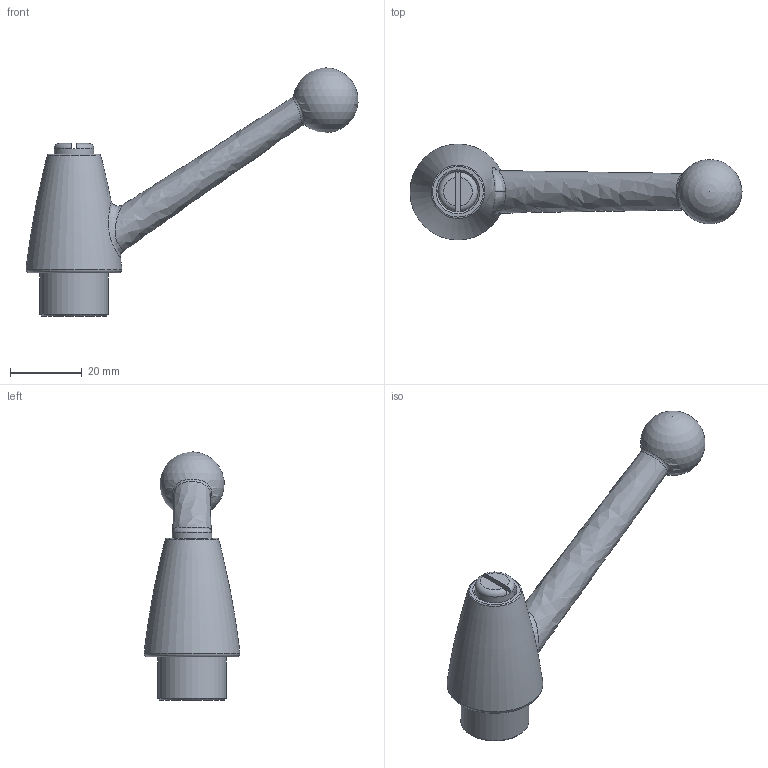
import cadquery as cq
import math


spigot_diameter = 19.0
spigot_chamfer = 0.5

hub_bottom_z = 12.0
hub_bottom_round = 1.0
hub_top_z = 45.0
hub_base_radius = 13.33
hub_top_radius = 7.35
hub_side_bulge = 0.55
hub_top_fillet = 0.4

screw_diameter = 11.0
screw_top_z = 48.0
screw_edge_fillet = 1.5
slot_width = 1.4
slot_depth = 1.5
bore_diameter = 11.2
bore_chamfer = 0.5
bore_depth = 2.0

ball_diameter = 18.0
ball_center_x = 69.95
ball_center_z = 60.0

arm_angle = 33.67
arm_rise_over_ball = 2.15
arm_start_x = 8.0
arm_end_x = 64.0
arm_start_width = 11.95
arm_start_thickness = 11.2
arm_end_width = 10.11
arm_end_thickness = 7.96
arm_hub_fillet = 2.0
arm_ball_fillet = 1.0
ball_joint_margin = 1.0


def make_spigot():
    """Plain cylinder with a chamfered lower edge."""
    spigot = cq.Workplane("XY").circle(spigot_diameter / 2).extrude(hub_bottom_z)
    return spigot.faces("<Z").chamfer(spigot_chamfer)


def make_hub():
    """Revolved hub: a slightly bulging cone with rounded ends."""
    side_bottom_z = hub_bottom_z + hub_bottom_round
    side_mid = (
        (hub_base_radius + hub_top_radius) / 2 + hub_side_bulge,
        (side_bottom_z + hub_top_z) / 2,
    )
    hub = (
        cq.Workplane("XZ")
        .moveTo(0, hub_bottom_z)
        .lineTo(hub_base_radius - hub_bottom_round, hub_bottom_z)
        .radiusArc((hub_base_radius, side_bottom_z), -hub_bottom_round)
        .threePointArc(side_mid, (hub_top_radius, hub_top_z))
        .lineTo(0, hub_top_z)
        .close()
        .revolve(360, (0, 0), (0, 1))
    )
    return hub.faces(">Z").edges().fillet(hub_top_fillet)


def make_ball():
    """Ball knob with its poles on Z."""
    return cq.Workplane("XY").sphere(ball_diameter / 2).translate((ball_center_x, 0, ball_center_z))


def arm_section(x, width, thickness):
    """Elliptical wire square to the arm axis, where that axis passes the given X."""
    slope = math.radians(arm_angle)
    z = ball_center_z + arm_rise_over_ball - (ball_center_x - x) * math.tan(slope)
    plane = cq.Plane(
        origin=(x, 0, z),
        xDir=(0, 1, 0),
        normal=(math.cos(slope), 0, math.sin(slope)),
    )
    return cq.Workplane(plane).ellipse(width / 2, thickness / 2).wires().val()


def make_arm():
    """Straight taper from inside the hub to inside the ball."""
    start = arm_section(arm_start_x, arm_start_width, arm_start_thickness)
    end = arm_section(arm_end_x, arm_end_width, arm_end_thickness)
    return cq.Workplane(cq.Solid.makeLoft([start, end], True))


def joint_edges(body, x_min, x_max):
    """Edges of the body that lie wholly between two X positions."""
    def inside(edge):
        box = edge.BoundingBox()
        return x_min < box.xmin and box.xmax < x_max

    return body.newObject([edge for edge in body.edges().vals() if inside(edge)])


def make_body():
    """Hub, arm and ball joined, with a fillet at each end of the arm."""
    body = make_hub().union(make_arm()).union(make_ball())
    ball_side_x = ball_center_x - ball_diameter / 2 - ball_joint_margin
    body = joint_edges(body, arm_start_x, hub_base_radius).fillet(arm_hub_fillet)
    return joint_edges(body, ball_side_x, ball_center_x - ball_joint_margin).fillet(arm_ball_fillet)


def cut_bore(body):
    """Chamfered bore in the top of the hub."""
    bore_bottom_z = hub_top_z - bore_depth
    bore = cq.Workplane("XY", origin=(0, 0, bore_bottom_z)).circle(bore_diameter / 2).extrude(bore_depth)
    mouth = (
        cq.Workplane("XY", origin=(0, 0, hub_top_z))
        .circle(bore_diameter / 2 + bore_chamfer)
        .extrude(-bore_chamfer, taper=45)
    )
    return body.cut(bore).cut(mouth)


def make_screw():
    """Screw head with a rounded top edge and a driver slot along Y."""
    screw_bottom_z = hub_top_z - bore_depth
    screw = (
        cq.Workplane("XY", origin=(0, 0, screw_bottom_z))
        .circle(screw_diameter / 2)
        .extrude(screw_top_z - screw_bottom_z)
        .faces(">Z")
        .edges()
        .fillet(screw_edge_fillet)
    )
    slot = (
        cq.Workplane("XY", origin=(0, 0, screw_top_z))
        .rect(slot_width, screw_diameter)
        .extrude(-slot_depth)
    )
    return screw.cut(slot)


result = cut_bore(make_body()).union(make_spigot()).union(make_screw())